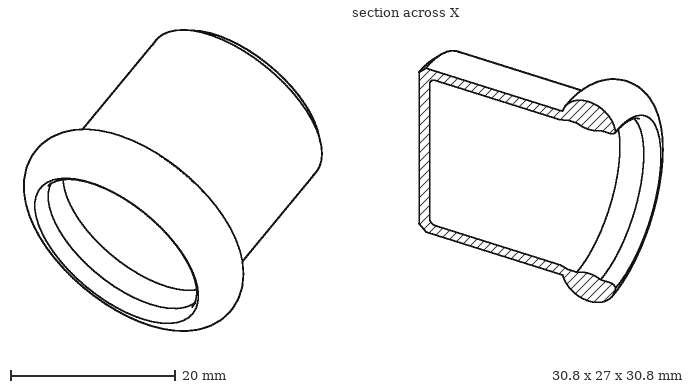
import cadquery as cq
import math

rim_radius = 15.4
length = 27.0
body_radius = 25.3 / 2
end_chamfer = 1.0

rim_width = 7.45
bulge_radius = rim_width / 2
bulge_center_radius = rim_radius - bulge_radius

bore_radius = 22.3 / 2
mouth_radius = 22.9 / 2
lip_rounding = 0.75
ridge_start = 2.05
ridge_end = 5.33
ridge_height = 0.4
mouth_depth = 6.55
taper_length = 1.05
floor_thickness = 1.5
floor_rounding = 0.77

ridge_middle = (ridge_start + ridge_end) / 2
floor_position = length - floor_thickness
diagonal = math.sqrt(0.5)


def solid_body():
    """Capped cylinder with a rounded rim, the rim drawn as radius and axial position."""
    rim = (
        cq.Workplane("XY")
        .moveTo(0, 0)
        .lineTo(bulge_center_radius, 0)
        .threePointArc((rim_radius, bulge_radius), (bulge_center_radius, rim_width))
        .lineTo(0, rim_width)
        .close()
        .revolve(360, (0, 0, 0), (0, 1, 0))
    )
    barrel = (
        cq.Workplane("XZ", origin=(0, length, 0))
        .circle(body_radius)
        .extrude(length - bulge_radius)
        .faces(">Y")
        .chamfer(end_chamfer)
    )
    return rim.union(barrel)


def socket():
    """Stepped bore with a rounded lip, an inner sealing ridge and a rounded floor."""
    lip_center = mouth_radius + lip_rounding
    floor_edge = bore_radius - floor_rounding
    return (
        cq.Workplane("XY")
        .moveTo(0, 0)
        .lineTo(lip_center, 0)
        .threePointArc(
            (lip_center - lip_rounding * diagonal, lip_rounding * (1 - diagonal)),
            (mouth_radius, lip_rounding),
        )
        .lineTo(mouth_radius, ridge_start)
        .threePointArc((mouth_radius - ridge_height, ridge_middle), (mouth_radius, ridge_end))
        .lineTo(mouth_radius, mouth_depth)
        .lineTo(bore_radius, mouth_depth + taper_length)
        .lineTo(bore_radius, floor_position - floor_rounding)
        .threePointArc(
            (
                floor_edge + floor_rounding * diagonal,
                floor_position - floor_rounding * (1 - diagonal),
            ),
            (floor_edge, floor_position),
        )
        .lineTo(0, floor_position)
        .close()
        .revolve(360, (0, 0, 0), (0, 1, 0))
    )


result = solid_body().cut(socket())